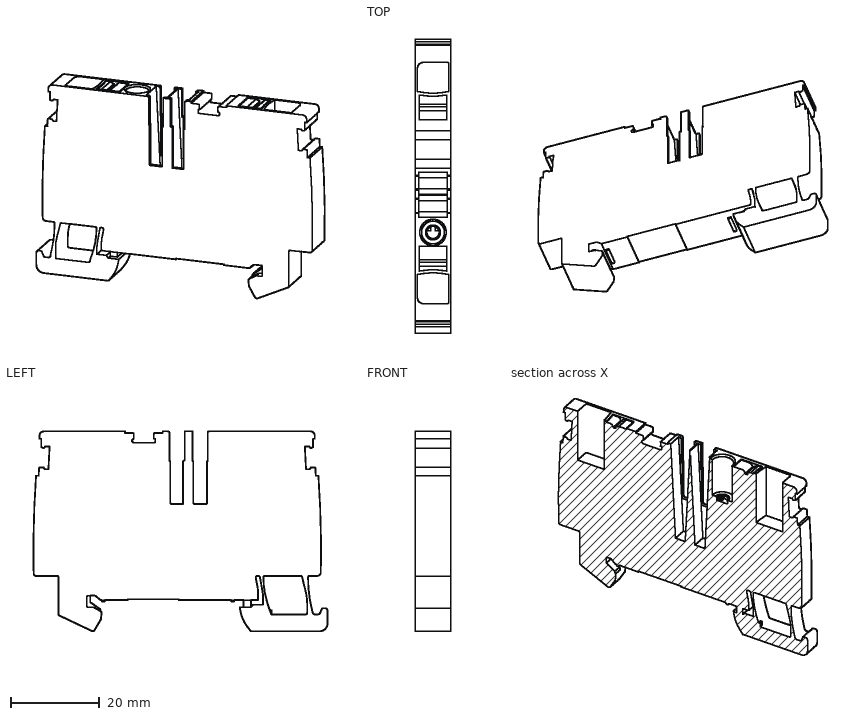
import cadquery as cq
import math

WIDTH = 8.1
HALF_LENGTH = 33.2
TOP = 45.2

BLOCK_HALF = 32.5
BLOCK_CENTRE = HALF_LENGTH - BLOCK_HALF
BLOCK_BOTTOM = 12.5
BULGE_RADIUS = 235.8
UNDERSIDE = 7.05
CORNER = 0.25

HOOK_OUTER = 27.6
HOOK_CEILING = 8.05
HOOK_BACK = 21.1
HOOK_LIP = 5.45
FOOT_LEDGE = 5.45
FOOT_TOP = 3.85
PEG_WIDTH = 1.6
LINK_WIDTH = 5.3
HOOK_CORE_WIDTH = 4.1
RIDGE_RADIUS = 0.4
RIDGE_PLACES = (17.4, -11.75)
RECESS_HEIGHT = 0.2
OVERLAP = 0.3

SLOT_FLOOR = 28.75
SLOT_STEP = 38.4
CHANNEL_WIDTH = 6.5
CHANNEL_SPANS = ((-5.8, -3.25), (-0.5, 1.9))
CHANNEL_FLOOR = 19.9
CHANNEL_TAPER = 1.25

ENTRY_HALF_WIDTH = 3.5
ENTRY_OUTER = 27.25
ENTRY_INNER = 20.65
ENTRY_BOW = 0.4
ENTRY_CORNER = 1.4
ENTRY_DEPTH = 13.3

LEVER_HALF_WIDTH = 3.1
LEVER_OUTER = 19.85
LEVER_INNER = 14.3
LEVER_BOW = 0.25
LEVER_RECESS = 0.2
GROOVE_STARTS = (19.4, -15.7)
GROOVE_ROUND = 0.85
GROOVE_FLOOR = 0.6
GROOVE_STEP = 0.45
GROOVE_WIDTH = 2.4

SCREW_Y = -10.4
SCREW_RADIUS = 2.6
SCREW_CHAMFER = 0.4
SCREW_DEPTH = 9.95
DRIVE_RADIUS = 1.65
DRIVE_CHAMFER = 0.25
DRIVE_DEPTH = 1.0
LEDGE_X = 0.45
LEDGE_Y = 0.3
LEDGE_HEIGHT = 0.45


def rounded_wire(corners):
    """Closed YZ outline from (y, z) or (y, z, radius) corners, rounding where a radius is given."""
    wire = None
    for i, corner in enumerate(corners):
        y, z = corner[:2]
        if len(corner) == 2:
            wire = wire.lineTo(y, z) if wire else cq.Workplane("YZ").moveTo(y, z)
            continue
        radius = corner[2]
        before = cq.Vector(*corners[i - 1][:2])
        after = cq.Vector(*corners[(i + 1) % len(corners)][:2])
        here = cq.Vector(y, z)
        to_before = (before - here).normalized()
        to_after = (after - here).normalized()
        half_angle = to_before.getAngle(to_after) / 2
        setback = radius / math.tan(half_angle)
        middle = (to_before + to_after).normalized() * (radius / math.sin(half_angle) - radius)
        start = here + to_before * setback
        end = here + to_after * setback
        wire = wire.lineTo(start.x, start.y) if wire else cq.Workplane("YZ").moveTo(start.x, start.y)
        wire = wire.threePointArc(((here + middle).x, (here + middle).y), (end.x, end.y))
    return wire.close()


def plate(corners, width=WIDTH):
    """Extrude a YZ outline symmetrically about the middle plane X = 0."""
    return rounded_wire(corners).extrude(width / 2, both=True)


def block_end(side, top_round, bottom_round):
    """Corners of one bulging housing end, top to bottom; side is +1 for +Y and -1 for -Y."""
    profile = [
        (31.1, TOP, top_round),
        (31.1, 43.45),
        (30.7, 43.45),
        (30.7, 41.6, 0.1),
        (30.1, 41.3, 0.2),
        (29.75, 41.7),
        (28.8, 41.7),
        (29.1, 36.6, 0.1),
        (29.9, 36.6, 0.1),
        (30.15, 37.0, 0.1),
        (31.2, 37.0, 0.25),
        (31.3, 35.15),
        (31.9, 35.15),
        (BLOCK_HALF + 0.1, 24.5, BULGE_RADIUS),
        (BLOCK_HALF - 0.05, BLOCK_BOTTOM, bottom_round),
    ]
    return [(BLOCK_CENTRE + side * u, *rest) for u, *rest in profile]


HOOK = [
    (HOOK_OUTER, BLOCK_BOTTOM, CORNER),
    (HOOK_OUTER, 3.65, 0.4),
    (19.6, -0.1, 0.5),
    (17.95, 2.7, 0.5),
    (17.75, 4.4, 0.6),
    (19.65, HOOK_LIP),
    (HOOK_BACK, HOOK_LIP, CORNER),
    (HOOK_BACK, HOOK_CEILING, CORNER),
    (19.2, HOOK_CEILING, 0.5),
    (18.1, UNDERSIDE),
]

RAIL_SEAT = [
    (11.9, UNDERSIDE),
    (11.9, UNDERSIDE + RECESS_HEIGHT),
    (0.4, UNDERSIDE + RECESS_HEIGHT),
    (0.4, UNDERSIDE),
    (-17.55, UNDERSIDE, CORNER),
]

FOOT = [
    (-17.55, 9.4, 8),
    (-16.95, BLOCK_BOTTOM, 0.3),
    (-17.9, BLOCK_BOTTOM, 0.3),
    (-18.6, 8.3, 4),
    (-18.6, 6.05),
    (-16.35, 6.05),
    (-15.9, FOOT_LEDGE),
    (-13.35, FOOT_LEDGE),
    (-13.9, 2.6, 8),
    (-15.9, 0),
    (-HALF_LENGTH, 0, 1.8),
    (-HALF_LENGTH, 5.25, 0.6),
    (-31.95, 5.25, 0.4),
    (-31.35, FOOT_TOP, 0.5),
    (-29.95, FOOT_TOP, 0.5),
    (-28.8, 8.3, 29.9),
    (-28.8, BLOCK_BOTTOM, CORNER),
]

FOOT_WINDOW = [
    (-18.75, BLOCK_BOTTOM, CORNER),
    (-27.4, BLOCK_BOTTOM, CORNER),
    (-28.55, 7.65, 9.95),
    (-28.55, FOOT_TOP, CORNER),
    (-20.45, FOOT_TOP, CORNER),
    (-19.7, 6.1),
    (-18.8, 9.3, 19.9),
]

CENTRE_SLOTS = [
    (-6.1, TOP, 0.4),
    (-6.1, SLOT_STEP),
    (-6.0, SLOT_STEP),
    (-6.0, SLOT_FLOOR, CORNER),
    (-2.9, SLOT_FLOOR, CORNER),
    (-2.9, SLOT_STEP),
    (-2.7, SLOT_STEP),
    (-2.7, TOP),
    (-0.9, TOP),
    (-0.9, SLOT_STEP + 0.25),
    (-0.5, SLOT_STEP),
    (-0.5, SLOT_FLOOR),
    (2.25, SLOT_FLOOR, CORNER),
    (2.25, SLOT_STEP),
    (2.45, SLOT_STEP),
    (2.45, TOP, 0.45),
]

MARKER_LEDGE = 44.8
MARKER_FLOOR = 42.6
MARKER_GROOVE = [
    (4.05, TOP),
    (4.05, MARKER_LEDGE),
    (6.05, MARKER_LEDGE, CORNER),
    (6.05, 43.45),
    (5.7, 43.45),
    (5.7, MARKER_FLOOR, CORNER),
    (10.9, MARKER_FLOOR, 0.4),
    (10.9, 43.2, 0.2),
    (10.5, 43.5),
    (10.5, MARKER_LEDGE, CORNER),
    (12.5, MARKER_LEDGE),
    (12.5, TOP),
]


def housing():
    """Side outline of the whole housing, with the window through the spring foot."""
    outline = block_end(+1, 1.0, 0.6) + HOOK + RAIL_SEAT + FOOT
    outline += block_end(-1, 1.05, 0.85)[::-1] + CENTRE_SLOTS + MARKER_GROOVE
    return plate(outline).cut(plate(FOOT_WINDOW))


def inner_ribs():
    """Narrow ribs set in from both side faces: hook throat, rail ridges, foot link and foot peg."""
    ribs = plate(
        [
            (HOOK_BACK + OVERLAP, HOOK_CEILING),
            (20.3, HOOK_CEILING),
            (20.3, 6.6),
            (18.15, 5.05),
            (17.8, 4.1),
            (HOOK_BACK + OVERLAP, HOOK_LIP - OVERLAP),
        ],
        HOOK_CORE_WIDTH,
    )
    for ridge_y in RIDGE_PLACES:
        ridge = cq.Workplane("YZ").center(ridge_y, UNDERSIDE).circle(RIDGE_RADIUS)
        ribs = ribs.union(ridge.extrude(HOOK_CORE_WIDTH / 2, both=True))
    link_top = UNDERSIDE + OVERLAP
    link_bottom = FOOT_LEDGE - OVERLAP
    link = plate(
        [(-14.2, link_top), (-15.95, link_top), (-15.95, link_bottom), (-14.2, link_bottom)],
        LINK_WIDTH,
    )
    peg_bottom = FOOT_TOP - OVERLAP
    peg = plate([(-19.6, 4.9), (-20.6, 4.8), (-20.6, peg_bottom), (-19.6, peg_bottom)], PEG_WIDTH)
    return ribs.union(link).union(peg)


def slot_channels():
    """Middle part of both slots, cut with leaning walls that open toward the top."""
    cutters = cq.Workplane("YZ")
    for low, high in CHANNEL_SPANS:
        channel = [
            (low, CHANNEL_FLOOR),
            (high, CHANNEL_FLOOR),
            (high + CHANNEL_TAPER, TOP),
            (low - CHANNEL_TAPER, TOP),
        ]
        cutters = cutters.add(plate(channel, CHANNEL_WIDTH))
    return cutters.combine()


def conductor_entry(side):
    """Deep conductor opening with a bowed inner side and one rounded outer corner."""
    outer = BLOCK_CENTRE + side * ENTRY_OUTER
    inner = BLOCK_CENTRE + side * ENTRY_INNER
    corner_y = outer - side * ENTRY_CORNER
    corner_x = ENTRY_CORNER - ENTRY_HALF_WIDTH
    arc_offset = ENTRY_CORNER * math.sqrt(0.5)
    return (
        cq.Workplane("XY", origin=(0, 0, TOP))
        .moveTo(ENTRY_HALF_WIDTH, outer)
        .lineTo(corner_x, outer)
        .threePointArc((corner_x - arc_offset, corner_y + side * arc_offset), (-ENTRY_HALF_WIDTH, corner_y))
        .lineTo(-ENTRY_HALF_WIDTH, inner)
        .threePointArc((0, inner - side * ENTRY_BOW), (ENTRY_HALF_WIDTH, inner))
        .close()
        .extrude(-ENTRY_DEPTH)
        .edges(cq.selectors.NearestToPointSelector((ENTRY_HALF_WIDTH, outer, TOP - ENTRY_DEPTH / 2)))
        .fillet(CORNER)
    )


def release_lever(side, groove_start):
    """Shallow recess of a release lever with a groove across it; both levers face the same way."""
    outer = BLOCK_CENTRE + side * LEVER_OUTER
    inner = BLOCK_CENTRE + side * LEVER_INNER
    recess = (
        cq.Workplane("XY", origin=(0, 0, TOP))
        .moveTo(LEVER_HALF_WIDTH, inner)
        .lineTo(-LEVER_HALF_WIDTH, inner)
        .lineTo(-LEVER_HALF_WIDTH, outer)
        .threePointArc((0, outer - side * LEVER_BOW), (LEVER_HALF_WIDTH, outer))
        .close()
        .extrude(-LEVER_RECESS)
    )
    face = TOP - LEVER_RECESS
    floor = face - GROOVE_ROUND
    floor_start = groove_start - GROOVE_ROUND
    floor_end = floor_start - GROOVE_FLOOR
    arc_drop = GROOVE_ROUND * (1 - math.sqrt(0.5))
    arc_run = GROOVE_ROUND * math.sqrt(0.5)
    groove = (
        cq.Workplane("YZ")
        .moveTo(groove_start, face)
        .threePointArc((groove_start - arc_run, face - arc_drop), (floor_start, floor))
        .lineTo(floor_end, floor)
        .lineTo(floor_end, floor + GROOVE_STEP)
        .lineTo(groove_start - GROOVE_WIDTH, face)
        .close()
        .extrude(LEVER_HALF_WIDTH, both=True)
    )
    return recess.union(groove)


def screw_hole():
    """Chamfered screw hole whose floor is a screw head with a chamfered drive recess."""

    def chamfered_bore(top, radius, chamfer, depth):
        bore = cq.Workplane("XY", origin=(0, SCREW_Y, top)).circle(radius).extrude(-depth)
        mouth = cq.Solid.makeCone(
            radius, radius + chamfer, chamfer, pnt=cq.Vector(0, SCREW_Y, top - chamfer)
        )
        return bore.union(cq.Workplane(mouth))

    drive_top = TOP - SCREW_DEPTH
    hole = chamfered_bore(TOP, SCREW_RADIUS, SCREW_CHAMFER, SCREW_DEPTH)
    drive = chamfered_bore(drive_top, DRIVE_RADIUS - DRIVE_CHAMFER, DRIVE_CHAMFER, DRIVE_DEPTH)
    for side in (+1, -1):
        ledge = cq.Workplane("XY").box(
            DRIVE_RADIUS, DRIVE_RADIUS, LEDGE_HEIGHT, centered=(True, False, False)
        )
        ledge_x = side * (LEDGE_X + DRIVE_RADIUS / 2)
        drive = drive.cut(ledge.translate((ledge_x, SCREW_Y + LEDGE_Y, drive_top - DRIVE_DEPTH)))
    return hole.union(drive)


result = housing().union(inner_ribs()).cut(slot_channels()).cut(screw_hole())
for side, groove_start in zip((+1, -1), GROOVE_STARTS):
    result = result.cut(conductor_entry(side)).cut(release_lever(side, groove_start))